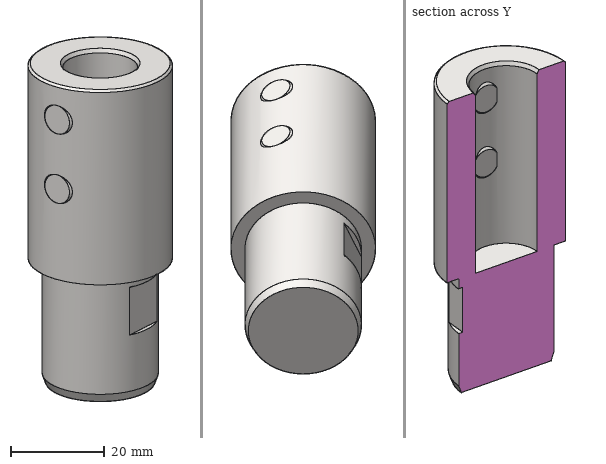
import cadquery as cq
import math

total_length = 73.5
head_diameter = 31.0
head_length = 45.0
head_chamfer = 0.5

shank_diameter = 25.0
shank_length = total_length - head_length
tip_height = 2.0
tip_taper_angle = 20.0

flat_depth = 1.0
flat_height = 11.0
flat_drop_below_head = 2.5

bore_diameter = 16.0
bore_depth = head_length
bore_lead_in_width = 0.5
bore_lead_in_height = 0.9

screw_diameter = 8.0
screw_length = 8.0
screw_chamfer = 0.7
first_screw_drop = 8.0
screw_spacing = 16.0
screw_count = 2

head_radius = head_diameter / 2
shank_radius = shank_diameter / 2
bore_radius = bore_diameter / 2


def make_body():
    """Revolve the stepped head and shank, with the bore left open."""
    tip_radius = shank_radius - tip_height * math.tan(math.radians(tip_taper_angle))
    profile = [
        (0, 0),
        (tip_radius, 0),
        (shank_radius, tip_height),
        (shank_radius, shank_length),
        (head_radius, shank_length),
        (head_radius, total_length - head_chamfer),
        (head_radius - head_chamfer, total_length),
        (bore_radius + bore_lead_in_width, total_length),
        (bore_radius, total_length - bore_lead_in_height),
        (bore_radius, total_length - bore_depth),
        (0, total_length - bore_depth),
    ]
    return cq.Workplane("XZ").polyline(profile).close().revolve(360, (0, 0), (0, 1))


def make_flat_cutter():
    """Block that removes the clamping flat from the shank."""
    flat_top = shank_length - flat_drop_below_head
    return (
        cq.Workplane("XY")
        .box(flat_depth, shank_diameter, flat_height, centered=(False, True, False))
        .translate((shank_radius - flat_depth, 0, flat_top - flat_height))
    )


def make_screw(height):
    """Set screw along Y, with its outer face level with the outermost line of the head."""
    return (
        cq.Workplane("XZ", origin=(0, -head_radius, height))
        .circle(screw_diameter / 2)
        .extrude(-screw_length)
        .faces("<Y or >Y")
        .chamfer(screw_chamfer)
    )


result = make_body().cut(make_flat_cutter())
for index in range(screw_count):
    screw_height = total_length - first_screw_drop - index * screw_spacing
    result = result.union(make_screw(screw_height))